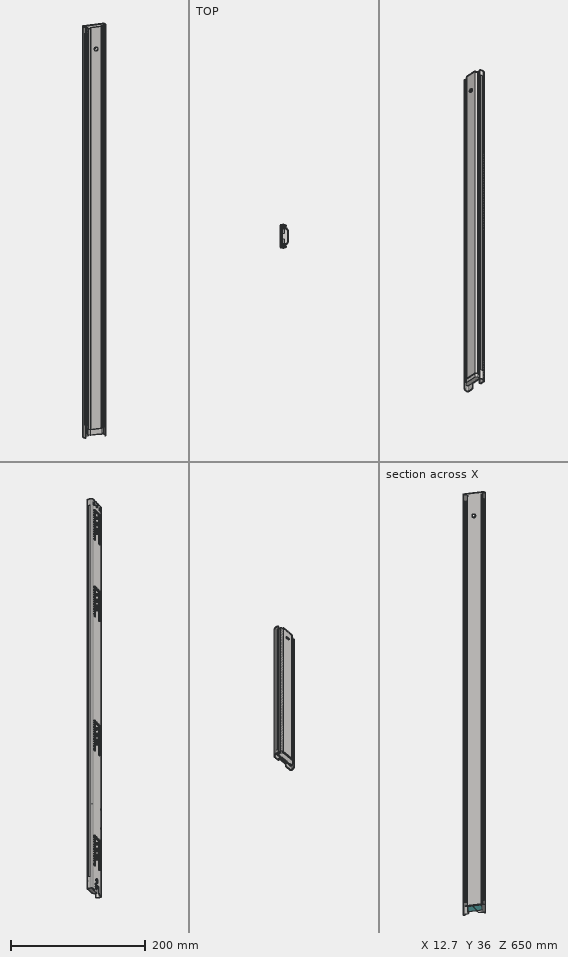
import cadquery as cq
import math

LENGTH = 650.0
DEPTH = 12.7
HALF_WIDTH = 17.99
SHEET = 1.2

OUTER_WEB_HALF = 15.2
OUTER_EDGE = (2.4, 17.65)
OUTER_CREST_X = 4.2
OUTER_LIP = (9.4, 16.3)

LIP_RUN = OUTER_LIP[0] - OUTER_CREST_X
LIP_DROP = HALF_WIDTH - OUTER_LIP[1]
LIP_RADIUS = (LIP_RUN**2 + LIP_DROP**2) / (2 * LIP_DROP)

MIDDLE_WEB_X = 2.2
MIDDLE_RIM_X = 9.0
MIDDLE_HALF_WIDTH = 15.2

INNER_WEB_HALF = 8.8
INNER_HALF_WIDTH = 12.2
INNER_BEVEL_X = 10.1
INNER_RIM_X = 4.6
INNER_SHOULDER_DROP = 2.0

STOP_BOTTOM = 5.0
STOP_TOP = 13.7
STOP_BACK_X = 6.0
LATCH_HALF_WIDTH = 4.4
LATCH_BOTTOM = 7.4
LATCH_RISE = 3.3
LATCH_REACH = 2.5

RETAINER_NEAR_X = 4.5
RETAINER_FAR_X = 7.0
RETAINER_BOTTOM = 20.0
RETAINER_TOP = 640.0
OUTER_RACE_HALF = 16.3

TAB_HOLE_DEPTHS = (35.0, 163.0, 387.0, 579.0)
TAB_TOP_RISE = 20.5
TAB_BOTTOM_DROP = 30.1
TAB_HALF_WIDTH = 10.75
TAB_SLOT = 3.9
TAB_BRIDGE_SLOT = 3.0
TAB_CORNER = 2.0
TAB_SLOT_END = 1.0
MAIN_HOLE = 5.9
PILOT_HOLE = 4.2
PILOT_RISE = 10.0
OBROUND_DROP = 12.0
OBROUND_LENGTH = 10.0

TOP_HOLE_DEPTH = 5.3
WINDOW_DEPTH = 6.2
WINDOW_INNER = 8.9
WINDOW_OUTER = 13.0
WINDOW_HEIGHT = 4.2
BOTTOM_HOLE_HEIGHT = 19.0
BOTTOM_HOLE = 7.0
NOTCH_HALF_WIDTH = 6.85
NOTCH_HEIGHT = 11.7
NOTCH_FLARE = 2.1


def web_sketch(depth_below_top):
    """Plane on the outer face at a depth below the top end: local X is +Y, local Y is +Z, normal +X."""
    return cq.Workplane("YZ", origin=(0, 0, LENGTH - depth_below_top))


def outer_profile(inset):
    """Outer wall of the outer rail, moved inward by the inset, closed across the open side."""
    web = (inset, OUTER_WEB_HALF - inset / 2)
    edge = (OUTER_EDGE[0], OUTER_EDGE[1] - inset)
    radius_x = edge[0] - web[0]
    radius_y = edge[1] - web[1]
    diagonal = math.sqrt(0.5)
    edge_mid = (edge[0] - radius_x * diagonal, web[1] + radius_y * diagonal)
    crest = (OUTER_CREST_X, HALF_WIDTH - inset)
    half_run = LIP_RUN / 2
    half_run_drop = LIP_RADIUS - math.sqrt(LIP_RADIUS**2 - half_run**2)
    lip_mid = (OUTER_CREST_X + half_run, HALF_WIDTH - half_run_drop - inset)
    lip = (OUTER_LIP[0], OUTER_LIP[1] - inset)

    def mirror(point):
        return (point[0], -point[1])

    return (
        cq.Workplane("XY")
        .moveTo(*mirror(web))
        .lineTo(*web)
        .threePointArc(edge_mid, edge)
        .lineTo(*crest)
        .threePointArc(lip_mid, lip)
        .lineTo(*mirror(lip))
        .threePointArc(mirror(lip_mid), mirror(crest))
        .lineTo(*mirror(edge))
        .threePointArc(mirror(edge_mid), mirror(web))
        .close()
        .extrude(LENGTH)
    )


def tab_cut(hole_depth):
    """U-shaped slot that frees a mounting tab, and the tab's three holes."""
    top = TAB_TOP_RISE
    bottom = -TAB_BOTTOM_DROP
    tab_half = TAB_HALF_WIDTH - TAB_SLOT
    sketch = web_sketch(hole_depth)
    frame = (
        sketch.center(0, (top + bottom) / 2)
        .rect(2 * TAB_HALF_WIDTH, top - bottom)
        .extrude(SHEET)
        .edges("|X and >Z")
        .fillet(TAB_CORNER)
        .edges("|X and <Z")
        .fillet(TAB_SLOT_END)
    )
    tab_top = top - TAB_BRIDGE_SLOT
    tab = (
        sketch.center(0, (tab_top + bottom) / 2)
        .rect(2 * tab_half, tab_top - bottom)
        .extrude(SHEET)
    )
    main = sketch.circle(MAIN_HOLE / 2).extrude(SHEET)
    pilot = sketch.center(0, PILOT_RISE).circle(PILOT_HOLE / 2).extrude(SHEET)
    obround = sketch.center(0, -OBROUND_DROP).slot2D(OBROUND_LENGTH, MAIN_HOLE, 90).extrude(SHEET)
    return frame.cut(tab).union(main).union(pilot).union(obround)


def end_windows():
    """Pair of small windows beside the hole at the top end."""
    middle = (WINDOW_INNER + WINDOW_OUTER) / 2
    return (
        web_sketch(WINDOW_DEPTH)
        .pushPoints([(-middle, 0), (middle, 0)])
        .rect(WINDOW_OUTER - WINDOW_INNER, WINDOW_HEIGHT)
        .extrude(SHEET)
    )


def bottom_notch():
    """Notch in the bottom edge of the web, flared at its mouth."""
    mouth = NOTCH_HALF_WIDTH + NOTCH_FLARE
    return (
        web_sketch(LENGTH)
        .polyline([
            (-mouth, 0),
            (-NOTCH_HALF_WIDTH, NOTCH_FLARE),
            (-NOTCH_HALF_WIDTH, NOTCH_HEIGHT),
            (NOTCH_HALF_WIDTH, NOTCH_HEIGHT),
            (NOTCH_HALF_WIDTH, NOTCH_FLARE),
            (mouth, 0),
        ])
        .close()
        .extrude(SHEET)
    )


def through_hole():
    """Hole that runs through all three rails at the uppermost tab."""
    return web_sketch(TAB_HOLE_DEPTHS[0]).circle(MAIN_HOLE / 2).extrude(DEPTH)


def make_outer_rail():
    rail = outer_profile(0).cut(outer_profile(SHEET))
    for hole_depth in TAB_HOLE_DEPTHS:
        rail = rail.cut(tab_cut(hole_depth))
    top_hole = web_sketch(TOP_HOLE_DEPTH).circle(PILOT_HOLE / 2).extrude(SHEET)
    bottom_hole = web_sketch(LENGTH - BOTTOM_HOLE_HEIGHT).circle(BOTTOM_HOLE / 2).extrude(SHEET)
    return rail.cut(top_hole).cut(bottom_hole).cut(end_windows()).cut(bottom_notch())


def make_middle_rail():
    x_size = MIDDLE_RIM_X - MIDDLE_WEB_X
    height = LENGTH - STOP_TOP
    block = cq.Workplane("XY").box(x_size, 2 * MIDDLE_HALF_WIDTH, height, centered=(False, True, False))
    space = (
        cq.Workplane("XY", origin=(SHEET, 0, 0))
        .box(x_size, 2 * (MIDDLE_HALF_WIDTH - SHEET), height, centered=(False, True, False))
    )
    return block.cut(space).translate((MIDDLE_WEB_X, 0, STOP_TOP)).cut(through_hole())


def bevelled_bar(rim_x, inset, bottom, top):
    """Bar with the outer outline of the inner rail, moved inward by the inset."""
    side = INNER_HALF_WIDTH - inset
    face = INNER_WEB_HALF - inset / 2
    bevel = INNER_BEVEL_X - inset / 2
    half = [(rim_x, side), (bevel, side), (DEPTH - inset, face)]
    other_half = [(x, -y) for x, y in reversed(half)]
    return (
        cq.Workplane("XY", origin=(0, 0, bottom))
        .polyline(half + other_half)
        .close()
        .extrude(top - bottom)
    )


def make_inner_rail():
    rail = bevelled_bar(INNER_RIM_X, 0, STOP_TOP, LENGTH)
    rail = rail.cut(bevelled_bar(INNER_RIM_X, SHEET, STOP_TOP, LENGTH))
    shoulder_width = INNER_HALF_WIDTH - INNER_WEB_HALF
    shoulder_middle = (INNER_HALF_WIDTH + INNER_WEB_HALF) / 2
    shoulders = (
        cq.Workplane("XY", origin=(0, 0, LENGTH - INNER_SHOULDER_DROP))
        .pushPoints([(DEPTH / 2, shoulder_middle), (DEPTH / 2, -shoulder_middle)])
        .rect(DEPTH, shoulder_width)
        .extrude(INNER_SHOULDER_DROP)
    )
    return rail.cut(shoulders).cut(through_hole())


def make_end_stop():
    """Block closing the lower end of the inner rail, with a ramped latch on its back."""
    block = bevelled_bar(STOP_BACK_X, 0, STOP_BOTTOM, STOP_TOP)
    latch = (
        cq.Workplane("XZ", origin=(0, LATCH_HALF_WIDTH, 0))
        .polyline([
            (STOP_BACK_X, LATCH_BOTTOM),
            (STOP_BACK_X - LATCH_REACH, LATCH_BOTTOM + LATCH_RISE),
            (STOP_BACK_X - LATCH_REACH, STOP_TOP),
            (STOP_BACK_X, STOP_TOP),
        ])
        .close()
        .extrude(2 * LATCH_HALF_WIDTH)
    )
    return block.union(latch)


def make_retainer(side, near_y, far_y):
    """Strip filling the gap between two flanges; side is +1 or -1 along Y."""
    return (
        cq.Workplane("XY", origin=(0, 0, RETAINER_BOTTOM))
        .center((RETAINER_NEAR_X + RETAINER_FAR_X) / 2, side * (near_y + far_y) / 2)
        .rect(RETAINER_FAR_X - RETAINER_NEAR_X, far_y - near_y)
        .extrude(RETAINER_TOP - RETAINER_BOTTOM)
    )


outer_rail = make_outer_rail()
middle_rail = make_middle_rail()
inner_rail = make_inner_rail()
end_stop = make_end_stop()

retainers = []
for side in (1, -1):
    retainers.append(make_retainer(side, MIDDLE_HALF_WIDTH, OUTER_RACE_HALF).val())
    retainers.append(make_retainer(side, INNER_HALF_WIDTH, MIDDLE_HALF_WIDTH - SHEET).val())

result = cq.Compound.makeCompound([
    outer_rail.val(),
    middle_rail.val(),
    inner_rail.val(),
    end_stop.val(),
    *retainers,
])